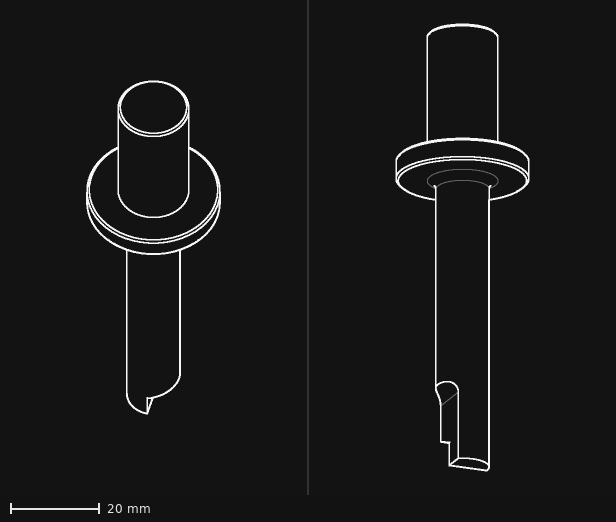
import cadquery as cq

total_height = 103.0
handle_length = 29.7
handle_diameter = 16.0
flange_diameter = 30.0
flange_thickness = 5.0
shaft_diameter = 12.0
edge_chamfer = 0.5
neck_fillet = 2.0

half_flat_x = 0.2
half_flat_inner_height = 5.6
half_flat_outer_height = 7.5

side_flat_y = 3.2
side_flat_height = 18.8
side_flat_fillet = 3.0

flange_top = total_height - handle_length
flange_bottom = flange_top - flange_thickness
shaft_radius = shaft_diameter / 2


def make_handle():
    """Plain round handle standing on the flange."""
    return (
        cq.Workplane("XY", origin=(0, 0, flange_top))
        .circle(handle_diameter / 2)
        .extrude(handle_length)
        .faces(">Z")
        .chamfer(edge_chamfer)
    )


def make_half_flat_cutter():
    """Prism along Y that removes the +X half of the shaft end."""
    slope = (half_flat_outer_height - half_flat_inner_height) / (shaft_radius - half_flat_x)
    outer_x = shaft_diameter
    outer_height = half_flat_inner_height + slope * (outer_x - half_flat_x)
    return (
        cq.Workplane("XZ")
        .moveTo(half_flat_x, 0)
        .lineTo(outer_x, 0)
        .lineTo(outer_x, outer_height)
        .lineTo(half_flat_x, half_flat_inner_height)
        .close()
        .extrude(shaft_diameter, both=True)
    )


def make_side_flat_cutter():
    """Block along X that removes the +Y side, rounded at its inner top edge."""
    return (
        cq.Workplane("XY", origin=(0, side_flat_y, 0))
        .box(2 * shaft_diameter, shaft_diameter, side_flat_height, centered=(True, False, False))
        .edges("<Y and >Z")
        .fillet(side_flat_fillet)
    )


def make_flanged_shaft():
    """Shaft and chamfered flange in one piece, with both flats cut at the lower end."""
    flange = (
        cq.Workplane("XY", origin=(0, 0, flange_bottom))
        .circle(flange_diameter / 2)
        .extrude(flange_thickness)
        .faces("<Z or >Z")
        .chamfer(edge_chamfer)
    )
    shaft = (
        cq.Workplane("XZ")
        .lineTo(shaft_radius, 0)
        .lineTo(shaft_radius, flange_bottom - neck_fillet)
        .radiusArc((shaft_radius + neck_fillet, flange_bottom), neck_fillet)
        .lineTo(0, flange_bottom)
        .close()
        .revolve(360, (0, 0, 0), (0, 1, 0))
    )
    return flange.union(shaft).cut(make_half_flat_cutter()).cut(make_side_flat_cutter())


handle = make_handle()
flanged_shaft = make_flanged_shaft()

result = cq.Compound.makeCompound([handle.val(), *flanged_shaft.solids().vals()])